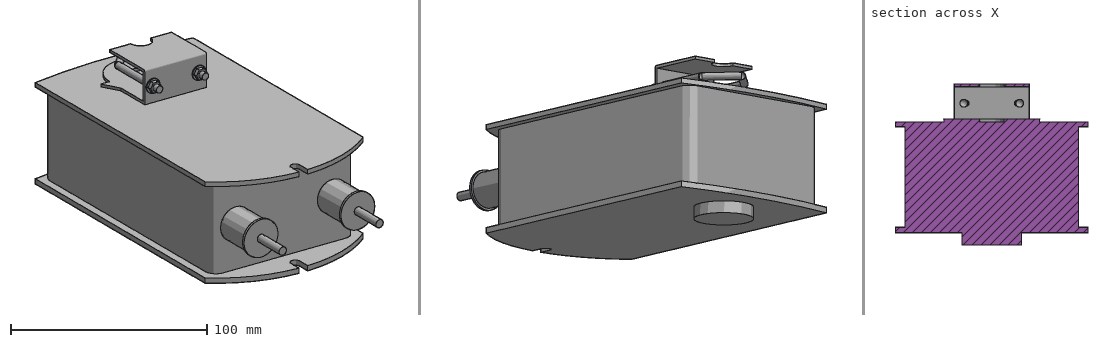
import cadquery as cq
import math


overall_length = 197.6

plate_width = 98.0
plate_left = -27.9
plate_left_corner = -23.5
plate_right = 145.0
plate_right_corner = 127.9
lower_plate_thickness = 3.0
upper_plate_thickness = 2.5
slot_width = 5.3
slot_end = 135.2

housing_left = plate_left_corner
housing_right = plate_right_corner
housing_width = 88.7
housing_height = 51.0
housing_corner_radius = 6.5

boss_diameter = 30.5
boss_height = 6.1

lower_plate_z = boss_height
housing_z = lower_plate_z + lower_plate_thickness
upper_plate_z = housing_z + housing_height
bracket_z = upper_plate_z + upper_plate_thickness

gland_spacing = 60.0
gland_z = housing_z + housing_height / 2
gland_diameter = 18.8
gland_rim_diameter = 21.0
gland_rim_left = 149.0
gland_rim_right = 150.4
cable_diameter = 4.5
cable_end = plate_left + overall_length

bracket_width = 38.3
bracket_top = 82.0
bracket_right = 31.2
sheet_thickness = 1.5
bend_radius = 1.2
shaft_clearance_diameter = 12.3
pointer_reach = 24.7
pointer_length = 9.9

bolt_diameter = 4.0
bolt_leg_y = 14.2
bolt_tip_x = -13.8
bolt_elbow_x = bolt_tip_x + bolt_leg_y
bolt_end_x = 37.3
bolt_z = 72.1
washer_diameter = 8.1
washer_thickness = 0.5
nut_across_flats = 5.7
nut_thickness = 2.4


def x_cylinder(diameter, start_x, end_x, y, z):
    """Cylinder along X."""
    start = cq.Workplane("YZ", origin=(start_x, y, z))
    return start.circle(diameter / 2).extrude(end_x - start_x)


def mounting_plate(bottom_z, thickness):
    """Arc-ended plate with an open slot in its right end."""
    half_width = plate_width / 2
    plate = (
        cq.Workplane("XY", origin=(0, 0, bottom_z))
        .moveTo(plate_left_corner, -half_width)
        .lineTo(plate_right_corner, -half_width)
        .threePointArc((plate_right, 0), (plate_right_corner, half_width))
        .lineTo(plate_left_corner, half_width)
        .threePointArc((plate_left, 0), (plate_left_corner, -half_width))
        .close()
        .extrude(thickness)
    )
    slot_length = plate_right - slot_end + slot_width
    slot = (
        cq.Workplane("XY", origin=(slot_end + slot_length / 2, 0, bottom_z))
        .slot2D(slot_length, slot_width)
        .extrude(thickness)
    )
    return plate.cut(slot)


def housing():
    length = housing_right - housing_left
    center_x = (housing_left + housing_right) / 2
    return (
        cq.Workplane("XY", origin=(center_x, 0, housing_z))
        .rect(length, housing_width)
        .extrude(housing_height)
        .edges("|Z")
        .fillet(housing_corner_radius)
    )


def shaft_boss():
    return cq.Workplane("XY").circle(boss_diameter / 2).extrude(boss_height)


def cable_gland(y):
    """Gland body with its end rim and the cable leaving it."""
    body = x_cylinder(gland_diameter, housing_right, gland_rim_left, y, gland_z)
    rim = x_cylinder(gland_rim_diameter, gland_rim_left, gland_rim_right, y, gland_z)
    cable = x_cylinder(cable_diameter, gland_rim_right, cable_end, y, gland_z)
    return body.union(rim).union(cable)


def clamp_bracket():
    half_width = bracket_width / 2
    base = (
        cq.Workplane("XY", origin=(0, 0, bracket_z))
        .moveTo(0, half_width)
        .threePointArc((-half_width, 0), (0, -half_width))
        .lineTo(0, -pointer_reach)
        .lineTo(pointer_length, -half_width)
        .lineTo(bracket_right, -half_width)
        .lineTo(bracket_right, half_width)
        .lineTo(pointer_length, half_width)
        .lineTo(0, pointer_reach)
        .close()
        .extrude(sheet_thickness)
    )
    inner_right = bracket_right - sheet_thickness
    inner_top = bracket_top - sheet_thickness
    upper = (
        cq.Workplane("XZ", origin=(0, half_width, 0))
        .moveTo(bracket_right, bracket_z)
        .lineTo(bracket_right, bracket_top)
        .lineTo(0, bracket_top)
        .lineTo(0, inner_top)
        .lineTo(inner_right, inner_top)
        .lineTo(inner_right, bracket_z)
        .close()
        .extrude(bracket_width)
        .edges("|Y and >X and >Z")
        .fillet(bend_radius)
    )
    clearance = (
        cq.Workplane("XY", origin=(0, 0, bracket_z))
        .circle(shaft_clearance_diameter / 2)
        .extrude(bracket_top - bracket_z)
    )
    return base.union(upper).cut(clearance)


def v_bolt():
    """Round rod bent to a V, with a washer and a nut on each leg."""
    path = cq.Workplane("XY", origin=(0, 0, bolt_z)).polyline([
        (bolt_end_x, -bolt_leg_y),
        (bolt_elbow_x, -bolt_leg_y),
        (bolt_tip_x, 0),
        (bolt_elbow_x, bolt_leg_y),
        (bolt_end_x, bolt_leg_y),
    ])
    bolt = (
        cq.Workplane("YZ", origin=(bolt_end_x, -bolt_leg_y, bolt_z))
        .circle(bolt_diameter / 2)
        .sweep(path, transition="round")
    )
    nut_left = bracket_right + washer_thickness

    for y in (-bolt_leg_y, bolt_leg_y):
        bolt = bolt.union(x_cylinder(washer_diameter, bracket_right, nut_left, y, bolt_z))
        nut = (
            cq.Workplane("YZ", origin=(nut_left, y, bolt_z))
            .polygon(6, nut_across_flats / math.cos(math.pi / 6))
            .extrude(nut_thickness)
        )
        bolt = bolt.union(nut)
    return bolt


result = (
    shaft_boss()
    .union(mounting_plate(lower_plate_z, lower_plate_thickness))
    .union(housing())
    .union(mounting_plate(upper_plate_z, upper_plate_thickness))
    .union(cable_gland(-gland_spacing / 2))
    .union(cable_gland(gland_spacing / 2))
    .union(clamp_bracket())
    .union(v_bolt())
)